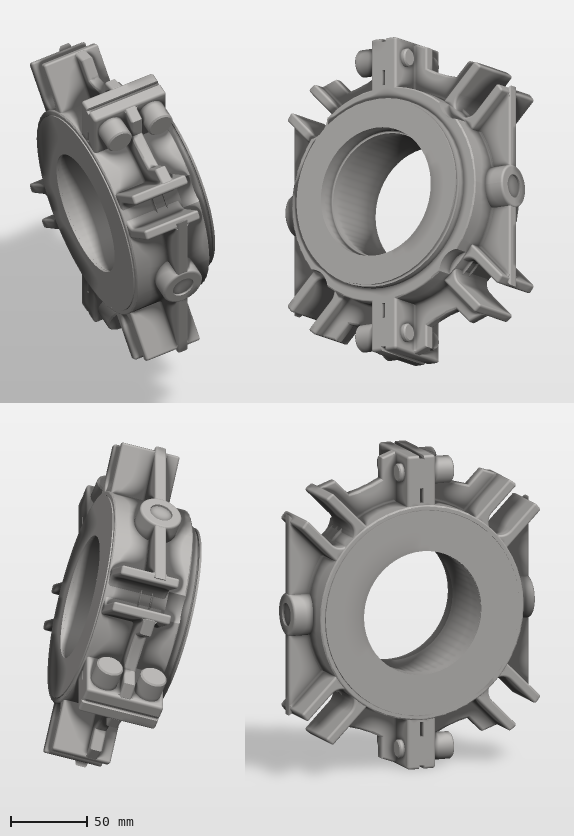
import cadquery as cq
import math

BODY_RADIUS = 143.4 / 2
BODY_BACK = 26.4
BODY_FRONT = -27.4
BODY_EDGE = 1.0
INSERT_FRONT = -28.1
INSERT_DIAMETER = 136.53
INSERT_POCKET_DIAMETER = 137.03
INSERT_POCKET_DEPTH = 1.6
FLANGE_DIAMETER = 125.73
FLANGE_BACK = 32.3
GROOVE_DIAMETER = 121.28
LIP_FRONT = 33.9
LIP_DIAMETER = 123.83
LIP_BACK = 35.4

BORE_DIAMETER = 82.55
BORE_MOUTH_DIAMETER = 82.68
BORE_MOUTH_DEPTH = 1.6
BACK_BORE_DIAMETER = 85.72
BACK_BORE_START = 23.2

HALF_WIDTH = 169.84 / 2
HALF_HEIGHT = 209.49 / 2
WEB_THICKNESS = 8.0
EDGE_ROUND = 1.5
ROOT_ROUND = 1.5
BEAD_OVERLAP = 0.5
ROOT_RADIUS = 65.0
TOLERANCE = 0.01

SLOT_HALF_WIDTH = 9.1
PAD_THICKNESS = 6.4
PAD_OUTER = SLOT_HALF_WIDTH + PAD_THICKNESS
PAD_MIDDLE = SLOT_HALF_WIDTH + PAD_THICKNESS / 2
PAD_BACK = 13.3
PAD_FRONT = -26.4
SLOT_END_OFFSET = 79.9
SCOOP_RADIUS = 14.0
SCOOP_BOTTOM = 67.5
SCOOP_FRONT = 14.5

SIDE_FACE = 84.4
LOBE_EDGE = 25.3
LOBE_TIP_RADIUS = 101.8
WEB_RIM_RADIUS = 88.5
LUG_HALF_WIDTH = 19.2
LUG_SHOULDER = 100.5
LUG_TOP = 103.9
TIP_SETBACK = 0.3

CLAMP_HALF_WIDTH = 9.8
CLAMP_ROUND = 1.8
CLAMP_HALF_DEPTH = 26.4
TOP_SLOT_WIDTH = 3.5
TOP_SLOT_DEPTH = 2.5
SPLIT_WIDTH = 2.4
SPLIT_BOTTOM = 73.1
SPLIT_TOP = 83.1

BOLT_HEIGHT = 92.3
BOLT_SPACING = 30.0
HEAD_DIAMETER = 18.0
HEAD_END = 24.2
HEAD_CHAMFER = 1.0
SHANK_DIAMETER = 12.0
SHANK_END = 13.2
SHANK_CHAMFER = 0.9

BOSS_DIAMETER = 28.6
BOSS_ROUND = 1.5
BOSS_RECESS_DIAMETER = 15.34
BOSS_RECESS_DEPTH = 1.5


def cylinder_y(diameter, start, end, x=0.0, z=0.0):
    """Cylinder along Y between two Y positions."""
    axis = cq.Vector(0, 1, 0)
    return cq.Workplane(cq.Solid.makeCylinder(diameter / 2, end - start, cq.Vector(x, start, z), axis))


def cylinder_x(diameter, start, end, y=0.0, z=0.0):
    """Cylinder along X between two X positions."""
    axis = cq.Vector(1, 0, 0)
    return cq.Workplane(cq.Solid.makeCylinder(diameter / 2, end - start, cq.Vector(start, y, z), axis))


def plate(outline, front, back):
    """Give a closed XZ outline its extent along Y."""
    return outline.extrude(back - front).translate((0, back, 0))


def diagonal(across, along):
    """XZ point in the upper left quadrant, measured across and along its 45 degree line."""
    return ((across - along) / math.sqrt(2), (across + along) / math.sqrt(2))


def reach(radius, offset):
    """Distance along a line, offset from the centre, to where it meets a circle."""
    return math.sqrt(radius**2 - offset**2)


def on_web_face(edge):
    return abs(abs(edge.Center().y) - WEB_THICKNESS / 2) < TOLERANCE


def outside_ring(edge):
    return all(math.hypot(v.X, v.Z) > BODY_RADIUS for v in edge.Vertices())


def in_four_quadrants(quadrant):
    left = quadrant.union(quadrant.mirror("XY"))
    return left.union(left.mirror("YZ"))


def quadrant_box():
    """Space with X < 0 and Z > 0 around the part."""
    box = cq.Workplane("XY").box(HALF_WIDTH, 2 * LIP_BACK, HALF_HEIGHT, centered=(False, True, False))
    return box.translate((-HALF_WIDTH, 0, 0))


def root_bead_profile(corner):
    """Concave fillet section in the corner of two walls along the workplane's axes."""
    return (
        corner.moveTo(-BEAD_OVERLAP, -BEAD_OVERLAP)
        .lineTo(ROOT_ROUND, -BEAD_OVERLAP)
        .lineTo(ROOT_ROUND, 0)
        .radiusArc((0, ROOT_ROUND), ROOT_ROUND)
        .lineTo(-BEAD_OVERLAP, ROOT_ROUND)
        .close()
    )


def root_bead(length):
    """Straight fillet strip along +Z."""
    return root_bead_profile(cq.Workplane("XY")).extrude(length)


def ring_body():
    """Ring wall with rounded edges and a shallow scoop behind the pads."""
    ring = cylinder_y(2 * BODY_RADIUS, BODY_FRONT, BODY_BACK).faces("<Y or >Y").edges().fillet(BODY_EDGE)
    x, z = diagonal(0, SCOOP_BOTTOM + SCOOP_RADIUS)
    return ring.cut(cylinder_y(2 * SCOOP_RADIUS, SCOOP_FRONT, LIP_BACK, x, z))


def pads():
    """Both pads of the upper left quadrant, joined at the round slot end, with rounded edges."""
    tip = reach(HALF_HEIGHT, PAD_OUTER)
    outline = (
        cq.Workplane("XZ")
        .moveTo(*diagonal(-PAD_OUTER, ROOT_RADIUS))
        .lineTo(*diagonal(-PAD_OUTER, tip))
        .threePointArc(diagonal(0, HALF_HEIGHT), diagonal(PAD_OUTER, tip))
        .lineTo(*diagonal(PAD_OUTER, ROOT_RADIUS))
        .close()
    )
    slot = (
        cq.Workplane("XZ")
        .moveTo(*diagonal(-SLOT_HALF_WIDTH, HALF_HEIGHT))
        .lineTo(*diagonal(-SLOT_HALF_WIDTH, SLOT_END_OFFSET))
        .threePointArc(
            diagonal(0, SLOT_END_OFFSET - SLOT_HALF_WIDTH),
            diagonal(SLOT_HALF_WIDTH, SLOT_END_OFFSET),
        )
        .lineTo(*diagonal(SLOT_HALF_WIDTH, HALF_HEIGHT))
        .close()
    )
    side_limit = cq.Workplane("XY").box(2 * SIDE_FACE, 4 * BODY_BACK, 4 * HALF_HEIGHT)
    block = plate(outline, PAD_FRONT, PAD_BACK).cut(plate(slot, PAD_FRONT, PAD_BACK))
    block = block.intersect(side_limit)
    rounded = block.edges().filter(
        lambda edge: any(math.hypot(v.X, v.Z) > BODY_RADIUS for v in edge.Vertices())
    )
    return rounded.fillet(EDGE_ROUND)


def upper_web():
    """Web between the upper pad and the clamp block, with a lug beside the clamp."""
    web_tip = reach(HALF_HEIGHT, PAD_OUTER) - TIP_SETBACK
    outline = (
        cq.Workplane("XZ")
        .moveTo(0, ROOT_RADIUS)
        .lineTo(0, HALF_HEIGHT - EDGE_ROUND)
        .lineTo(-CLAMP_HALF_WIDTH, LUG_TOP)
        .lineTo(-LUG_HALF_WIDTH, LUG_SHOULDER)
        .lineTo(-LUG_HALF_WIDTH, reach(WEB_RIM_RADIUS, LUG_HALF_WIDTH))
        .radiusArc(diagonal(LOBE_EDGE, reach(WEB_RIM_RADIUS, LOBE_EDGE)), WEB_RIM_RADIUS)
        .lineTo(*diagonal(LOBE_EDGE, reach(LOBE_TIP_RADIUS, LOBE_EDGE)))
        .lineTo(*diagonal(PAD_OUTER, web_tip))
        .lineTo(*diagonal(PAD_MIDDLE, web_tip))
        .lineTo(*diagonal(PAD_MIDDLE, ROOT_RADIUS))
        .close()
    )
    web = plate(outline, -WEB_THICKNESS / 2, WEB_THICKNESS / 2)
    rim = web.edges().filter(on_web_face).filter(outside_ring)
    return rim.filter(lambda edge: edge.Center().x < -CLAMP_HALF_WIDTH / 2).fillet(EDGE_ROUND)


def side_web():
    """Web from the lower pad down to the mid height, flat on its outer side."""
    outline = (
        cq.Workplane("XZ")
        .moveTo(-ROOT_RADIUS, 0)
        .lineTo(-SIDE_FACE, 0)
        .lineTo(-SIDE_FACE, SIDE_FACE - PAD_MIDDLE * math.sqrt(2))
        .lineTo(*diagonal(-PAD_MIDDLE, ROOT_RADIUS))
        .close()
    )
    web = plate(outline, -WEB_THICKNESS / 2, WEB_THICKNESS / 2)
    return web.faces("<X").edges("|Z").fillet(EDGE_ROUND)


def pad_root_beads():
    """Fillet strips where the two webs meet the pads of the upper left quadrant."""
    length = reach(HALF_HEIGHT, PAD_OUTER) - EDGE_ROUND - ROOT_RADIUS
    bead = root_bead(length).translate((PAD_OUTER, WEB_THICKNESS / 2, ROOT_RADIUS))
    one_face = bead.union(bead.mirror("YZ"))
    return one_face.union(one_face.mirror("XZ")).rotate((0, 0, 0), (0, 1, 0), -45)


def clamp_root_beads():
    """Fillet strips where the upper web meets the clamp block."""
    length = LUG_TOP - EDGE_ROUND - ROOT_RADIUS
    bead = root_bead(length).translate((CLAMP_HALF_WIDTH, WEB_THICKNESS / 2, ROOT_RADIUS)).mirror("YZ")
    return bead.union(bead.mirror("XZ"))


def ring_root_beads():
    """Fillet collars where the webs rise from the ring wall."""
    collar = root_bead_profile(cq.Workplane("XY").center(BODY_RADIUS, WEB_THICKNESS / 2))
    collar = collar.revolve(360, (-BODY_RADIUS, 0), (-BODY_RADIUS, 1))
    return collar.union(collar.mirror("XZ")).intersect(quadrant_box())


def clamp_block():
    height = HALF_HEIGHT - ROOT_RADIUS
    block = cq.Workplane("XY").box(
        2 * CLAMP_HALF_WIDTH, 2 * CLAMP_HALF_DEPTH, height, centered=(True, True, False)
    )
    return block.translate((0, 0, ROOT_RADIUS)).edges("|Z or >Z").fillet(CLAMP_ROUND)


def clamp_cuts():
    """Alignment slot across the top of the clamp and the narrow split above the ring."""
    cut_depth = 3 * CLAMP_HALF_DEPTH
    top_slot = cq.Workplane("XY").box(TOP_SLOT_WIDTH, cut_depth, 2 * TOP_SLOT_DEPTH)
    split = cq.Workplane("XY").box(SPLIT_WIDTH, cut_depth, SPLIT_TOP - SPLIT_BOTTOM)
    split_middle = (SPLIT_TOP + SPLIT_BOTTOM) / 2
    return top_slot.translate((0, 0, HALF_HEIGHT)).union(split.translate((0, 0, split_middle)))


def clamp_bolts():
    """Two bolts through the clamp: heads on the +X side, shank ends on the -X side."""
    bolts = cq.Workplane("XY")
    for y in (-BOLT_SPACING / 2, BOLT_SPACING / 2):
        head = cylinder_x(HEAD_DIAMETER, 0, HEAD_END, y, BOLT_HEIGHT)
        shank = cylinder_x(SHANK_DIAMETER, -SHANK_END, 0, y, BOLT_HEIGHT)
        bolts = bolts.union(head.faces(">X").chamfer(HEAD_CHAMFER))
        bolts = bolts.union(shank.faces("<X").chamfer(SHANK_CHAMFER))
    return bolts


def side_boss():
    return cylinder_x(BOSS_DIAMETER, -HALF_WIDTH, -ROOT_RADIUS).faces("<X").edges().fillet(BOSS_ROUND)


def boss_recess():
    return cylinder_x(BOSS_RECESS_DIAMETER, -HALF_WIDTH, BOSS_RECESS_DEPTH - HALF_WIDTH)


def upper_left_quadrant():
    """Ring, pads, webs, clamp half and boss half for X < 0 and Z > 0, without the bolts."""
    shape = ring_body().intersect(quadrant_box()).union(pads())
    shape = shape.union(upper_web()).union(side_web())
    shape = shape.union(pad_root_beads()).union(clamp_root_beads()).union(ring_root_beads())
    shape = shape.union(clamp_block()).union(side_boss()).cut(boss_recess())
    return shape.intersect(quadrant_box())


def back_flange():
    flange = cylinder_y(FLANGE_DIAMETER, 0, FLANGE_BACK)
    groove = cylinder_y(GROOVE_DIAMETER, 0, LIP_FRONT)
    lip = cylinder_y(LIP_DIAMETER, LIP_FRONT, LIP_BACK)
    return flange.union(groove).union(lip)


def insert_seat():
    """Narrow ring-shaped gap around the bearing insert at the front face."""
    pocket_end = BODY_FRONT + INSERT_POCKET_DEPTH
    pocket = cylinder_y(INSERT_POCKET_DIAMETER, BODY_FRONT, pocket_end)
    return pocket.cut(cylinder_y(INSERT_DIAMETER, BODY_FRONT, pocket_end))


def bore():
    mouth = cylinder_y(BORE_MOUTH_DIAMETER, INSERT_FRONT, INSERT_FRONT + BORE_MOUTH_DEPTH)
    middle = cylinder_y(BORE_DIAMETER, INSERT_FRONT, BACK_BORE_START)
    back = cylinder_y(BACK_BORE_DIAMETER, BACK_BORE_START, LIP_BACK)
    return mouth.union(middle).union(back)


result = in_four_quadrants(upper_left_quadrant())
result = result.union(cylinder_y(INSERT_DIAMETER, INSERT_FRONT, 0)).union(back_flange())
upper_bolts = clamp_bolts()
upper_cuts = clamp_cuts()
result = result.union(upper_bolts).union(upper_bolts.mirror("XY"))
result = result.cut(upper_cuts).cut(upper_cuts.mirror("XY"))
result = result.cut(insert_seat()).cut(bore())